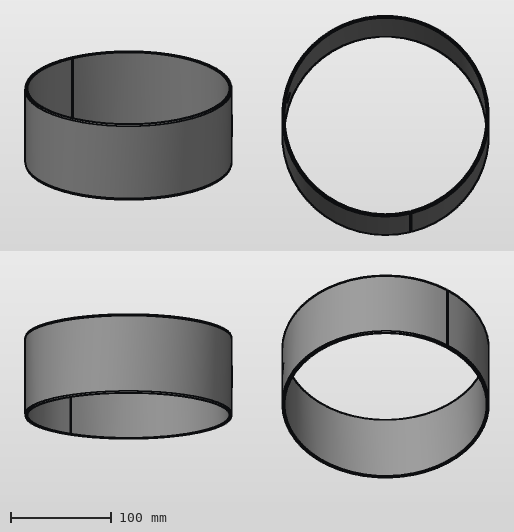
import cadquery as cq
import math

outer_diameter = 205.0
height = 80.0
wall = 2.5
outer_chamfer_radial = 0.65
outer_chamfer_angle = 20.0
inner_chamfer = 0.8
sweep_angle = 359.0
start_angle = 180.0
hole_diameter = 10.0
hole_angle = 59.0

outer_radius = outer_diameter / 2
inner_radius = outer_radius - wall
outer_chamfer_axial = outer_chamfer_radial / math.tan(math.radians(outer_chamfer_angle))


def make_band():
    """Sweep the wall section round Z, from the -X side through -Y."""
    section = (
        cq.Workplane("XZ")
        .moveTo(inner_radius + inner_chamfer, 0)
        .lineTo(outer_radius - outer_chamfer_radial, 0)
        .lineTo(outer_radius, outer_chamfer_axial)
        .lineTo(outer_radius, height - outer_chamfer_axial)
        .lineTo(outer_radius - outer_chamfer_radial, height)
        .lineTo(inner_radius + inner_chamfer, height)
        .lineTo(inner_radius, height - inner_chamfer)
        .lineTo(inner_radius, inner_chamfer)
        .close()
    )
    band = section.revolve(sweep_angle, (0, 0, 0), (0, 1, 0))
    return band.rotate((0, 0, 0), (0, 0, 1), start_angle)


def make_hole():
    """Radial cutter from the ring axis out through the wall at mid-height."""
    cutter = cq.Workplane("YZ").center(0, height / 2).circle(hole_diameter / 2).extrude(outer_diameter)
    return cutter.rotate((0, 0, 0), (0, 0, 1), hole_angle)


result = make_band().cut(make_hole())